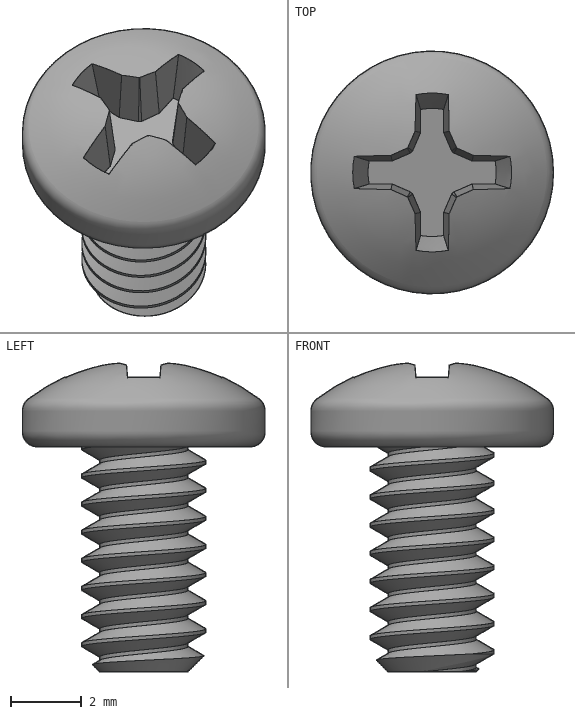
import cadquery as cq
import math


head_diameter = 6.86
head_radius = head_diameter / 2
head_edge_radius = 0.43
rim_top_height = 1.017
dome_edge_height = 1.366
dome_apex_height = 2.46
rounding_rise = dome_edge_height - rim_top_height
dome_edge_radius = head_radius - head_edge_radius + math.sqrt(head_edge_radius**2 - rounding_rise**2)

shank_length = 6.35
major_diameter = 3.505
major_radius = major_diameter / 2
inch = 25.4
threads_per_inch = 32
thread_pitch = inch / threads_per_inch
flank_angle = math.radians(30)
crest_width = thread_pitch / 8
root_radius = 1.245
crest_offset = -0.225
tip_chamfer = major_radius - root_radius
seam_angle = 97
groove_overrun = 0.03

recess_floor_height = 0.35
recess_overrun = 0.1
recess_top_height = dome_apex_height + recess_overrun
recess_depth = recess_top_height - recess_floor_height
side_taper = 4.6
wing_half_width = 0.325
wing_root_distance = 1.13
ridge_near = 0.55
ridge_far = 0.61
wing_reach = head_radius
recess_floor_radius = 1.81
tip_taper = 15.0


def make_head():
    """Solid of revolution with rounded rim edges and a shallow domed top."""
    rounding_angle = math.acos(1 - (head_radius - dome_edge_radius) / head_edge_radius)
    rounding_middle = (
        head_radius - head_edge_radius * (1 - math.cos(rounding_angle / 2)),
        rim_top_height + head_edge_radius * math.sin(rounding_angle / 2),
    )
    dome_rise = dome_apex_height - dome_edge_height
    dome_radius = (dome_edge_radius**2 + dome_rise**2) / (2 * dome_rise)
    half_angle = math.asin(dome_edge_radius / dome_radius) / 2
    dome_middle = (
        dome_radius * math.sin(half_angle),
        dome_apex_height - dome_radius * (1 - math.cos(half_angle)),
    )
    return (
        cq.Workplane("XZ")
        .moveTo(0, 0)
        .lineTo(head_radius - head_edge_radius, 0)
        .radiusArc((head_radius, head_edge_radius), -head_edge_radius)
        .lineTo(head_radius, rim_top_height)
        .threePointArc(rounding_middle, (dome_edge_radius, dome_edge_height))
        .threePointArc(dome_middle, (0, dome_apex_height))
        .close()
        .revolve(360, (0, 0), (0, 1))
    )


def make_groove_turn():
    """One turn of the groove between threads, centred on Z = 0 where it starts on the +X side."""
    outer_radius = major_radius + groove_overrun
    slope = math.tan(flank_angle)
    outer_half = (thread_pitch - crest_width) / 2 + groove_overrun * slope
    root_half = outer_half - (outer_radius - root_radius) * slope
    path = cq.Wire.makeHelix(thread_pitch, thread_pitch, root_radius)
    return (
        cq.Workplane("XZ")
        .moveTo(root_radius, root_half)
        .lineTo(outer_radius, outer_half)
        .lineTo(outer_radius, -outer_half)
        .lineTo(root_radius, -root_half)
        .close()
        .sweep(cq.Workplane(path), isFrenet=True)
    )


def make_shank():
    """Chamfered cylinder with the right-hand thread groove cut turn by turn."""
    shank = (
        cq.Workplane("XY")
        .circle(major_radius)
        .extrude(-shank_length)
        .faces("<Z")
        .chamfer(tip_chamfer)
        .rotate((0, 0, 0), (0, 0, 1), seam_angle)
    )
    groove_turn = make_groove_turn()
    top_groove_height = crest_offset + thread_pitch / 2
    turn_count = math.ceil((shank_length + top_groove_height) / thread_pitch) + 1
    for turn in range(turn_count):
        height = top_groove_height - turn * thread_pitch
        shank = shank.cut(groove_turn.translate((0, 0, height)))
    return shank


def make_recess():
    """Tapered cross with its wing tips trimmed by a cone."""
    quarter = [
        (wing_reach, wing_half_width),
        (wing_root_distance, wing_half_width),
        (ridge_far, ridge_near),
        (ridge_near, ridge_far),
        (wing_half_width, wing_root_distance),
        (wing_half_width, wing_reach),
    ]
    outline = []
    for _ in range(4):
        outline.extend(quarter)
        quarter = [(-y, x) for x, y in quarter]
    floor = cq.Workplane("XY").workplane(offset=recess_floor_height)
    cross = floor.polyline(outline).close().extrude(recess_depth, taper=-side_taper)
    tip_cone = floor.circle(recess_floor_radius).extrude(recess_depth, taper=-tip_taper)
    return cross.intersect(tip_cone)


result = make_head().cut(make_recess()).union(make_shank())